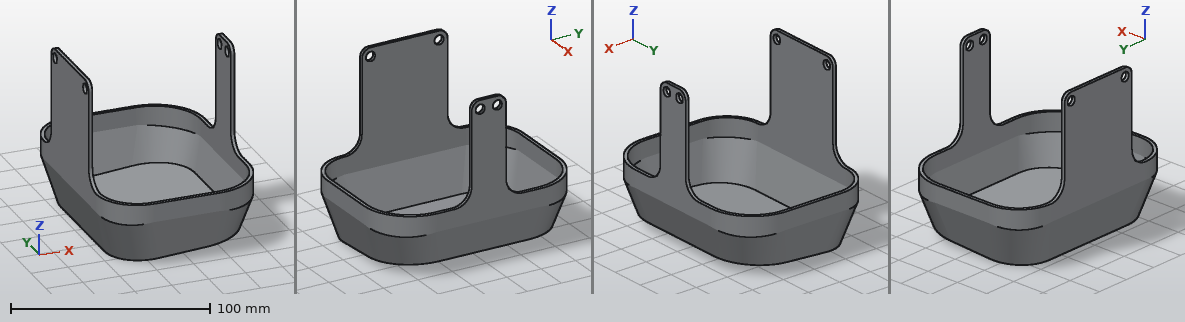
import cadquery as cq
import math

width = 85.0
length = 114.0
total_height = 91.8
rim_height = 35.0
seam_height = 25.0
wall = 2.0
draft_angle = math.radians(15)
floor_angle = math.radians(4.5)
left_corner_radius = 22.0
right_corner_radius = 27.0

tab_corner_radius = 5.0
tab_root_radius = 10.0
left_tab_width = length - 2 * (left_corner_radius + tab_root_radius)
right_tab_width = 20.1
hole_diameter = 5.2

draft_run = math.tan(draft_angle)
lowest_x = -width / 2 + seam_height * draft_run


def round_corners(body, inset):
    """Round the four upright or leaning corner edges."""
    corner_edges = [edge for edge in body.edges().vals() if abs(edge.tangentAt(0).z) > 0.5]
    left_edges = [edge for edge in corner_edges if edge.Center().x < 0]
    right_edges = [edge for edge in corner_edges if edge.Center().x > 0]
    solid = body.val().fillet(left_corner_radius - inset, left_edges)
    right_edges = [edge for edge in solid.Edges() if any(edge.isSame(kept) for kept in right_edges)]
    return cq.Workplane(solid.fillet(right_corner_radius - inset, right_edges))


def tray_body(inset):
    """Solid tray moved inward by inset on its walls and its tilted floor."""
    upright_block = cq.Workplane("XY").rect(width - 2 * inset, length - 2 * inset).extrude(rim_height)
    upright_block = round_corners(upright_block, inset)

    side_shift = inset / math.cos(draft_angle)
    bottom_shift = 2 * (side_shift + seam_height * draft_run)
    top_shift = bottom_shift - 2 * rim_height * draft_run
    tapered_block = (
        cq.Workplane("XY").rect(width - bottom_shift, length - bottom_shift)
        .workplane(offset=rim_height).rect(width - top_shift, length - top_shift)
        .loft(ruled=True)
    )
    tapered_block = round_corners(tapered_block, inset)

    floor_lift = inset / math.cos(floor_angle)
    floor_slope = math.tan(floor_angle)
    left_floor = floor_lift + (-width / 2 - lowest_x) * floor_slope
    right_floor = floor_lift + (width / 2 - lowest_x) * floor_slope
    above_floor = (
        cq.Workplane("XZ")
        .polyline([(-width / 2, left_floor), (width / 2, right_floor),
                   (width / 2, rim_height), (-width / 2, rim_height)])
        .close().extrude(length / 2, both=True)
    )
    return upright_block.intersect(tapered_block).intersect(above_floor)


def hanging_tab(tab_width, outer_x):
    """Tab rising from the rim, flared at its root, with a hole at each top corner."""
    half = tab_width / 2
    root_half = half + tab_root_radius
    hole_y = half - tab_corner_radius
    hole_z = total_height - tab_corner_radius
    diagonal = math.sqrt(0.5)
    root_mid_y = root_half - tab_root_radius * diagonal
    root_mid_z = rim_height + tab_root_radius * (1 - diagonal)
    top_mid_y = hole_y + tab_corner_radius * diagonal
    top_mid_z = hole_z + tab_corner_radius * diagonal
    plane = cq.Workplane("YZ", origin=(outer_x, 0, 0))
    plate = (
        plane.moveTo(-root_half, seam_height)
        .lineTo(-root_half, rim_height)
        .threePointArc((-root_mid_y, root_mid_z), (-half, rim_height + tab_root_radius))
        .lineTo(-half, hole_z)
        .threePointArc((-top_mid_y, top_mid_z), (-hole_y, total_height))
        .lineTo(hole_y, total_height)
        .threePointArc((top_mid_y, top_mid_z), (half, hole_z))
        .lineTo(half, rim_height + tab_root_radius)
        .threePointArc((root_mid_y, root_mid_z), (root_half, rim_height))
        .lineTo(root_half, seam_height)
        .close().extrude(wall)
    )
    hole_centers = [(-hole_y, hole_z), (hole_y, hole_z)]
    holes = plane.pushPoints(hole_centers).circle(hole_diameter / 2).extrude(wall)
    return plate.cut(holes)


tray = tray_body(0).cut(tray_body(wall))
left_tab = hanging_tab(left_tab_width, -width / 2)
right_tab = hanging_tab(right_tab_width, width / 2 - wall)
result = tray.union(left_tab).union(right_tab)